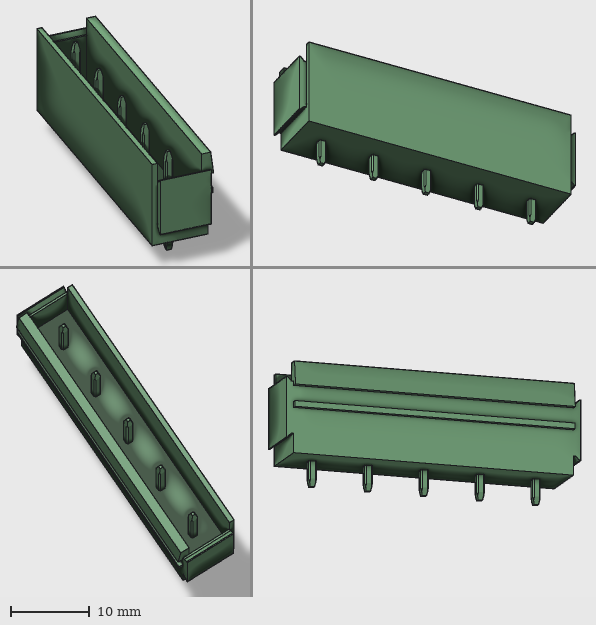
import cadquery as cq

housing_length = 37.52
housing_depth = 7.75
housing_height = 11.93
front_wall = 0.7
back_wall = 0.9
floor_height = 3.0
back_y = housing_depth
inner_front_y = front_wall
inner_back_y = back_y - back_wall

lip_bottom_z = 8.8
lip_reach_bottom = 0.75
lip_reach_top = 0.35
rib_bottom_z = 5.92
rib_height = 0.75
rib_reach = 0.65

overall_length = 39.5
plate_thickness = (overall_length - housing_length) / 2
plate_rim = 0.15
plate_neck = 0.28
plate_flare = 0.55
plate_bottom_z = 1.98
plate_top_z = 9.9

pin_count = 5
pin_pitch = 7.5
pin_row_y = 3.8
pin_width = 1.03
pin_bevel = 0.2
pin_bottom_z = -3.28
pin_top_z = 11.1
lower_taper = 0.95
lower_tip_width = 0.6
upper_taper = 1.4
upper_tip_width = 0.4


def make_channel():
    """Extrude the cross-section of floor, walls, lip and rib along X."""
    rib_top_z = rib_bottom_z + rib_height
    profile = [
        (0, 0),
        (back_y, 0),
        (back_y, rib_bottom_z),
        (back_y + rib_reach, rib_bottom_z),
        (back_y + rib_reach, rib_top_z),
        (back_y, rib_top_z),
        (back_y, lip_bottom_z),
        (back_y + lip_reach_bottom, lip_bottom_z),
        (back_y + lip_reach_top, housing_height),
        (inner_back_y, housing_height),
        (inner_back_y, floor_height),
        (inner_front_y, floor_height),
        (inner_front_y, housing_height),
        (0, housing_height),
    ]
    channel = cq.Workplane("YZ").polyline(profile).close()
    return channel.extrude(housing_length / 2, both=True)


def make_end_plate(side):
    """Close one end of the channel; side is -1 for the -X end and +1 for the +X end."""
    inner_x = side * housing_length / 2
    neck_x = inner_x + side * plate_neck
    outer_x = inner_x + side * plate_thickness
    rim_x = outer_x - side * plate_rim
    profile = [
        (inner_x, plate_bottom_z + plate_flare),
        (neck_x, plate_bottom_z + plate_flare),
        (rim_x, plate_bottom_z),
        (outer_x, plate_bottom_z),
        (outer_x, plate_top_z),
        (rim_x, plate_top_z),
        (neck_x, plate_top_z - plate_flare),
        (inner_x, plate_top_z - plate_flare),
    ]
    plate = cq.Workplane("XZ", origin=(0, inner_front_y, 0)).polyline(profile).close()
    return plate.extrude(-(back_y - inner_front_y))


def make_pin_bar(x):
    """Build the full-length bevelled bar of a pin, before its ends are tapered."""
    bar = cq.Workplane("XY", origin=(x, pin_row_y, pin_bottom_z))
    bar = bar.rect(pin_width, pin_width).extrude(pin_top_z - pin_bottom_z)
    return bar.edges("|Z").chamfer(pin_bevel)


def make_taper(x, base_z, length, tip_width):
    """Build a square pyramid stump from the pin width to tip_width; negative length points down."""
    taper = cq.Workplane("XY", origin=(x, pin_row_y, base_z)).rect(pin_width, pin_width)
    return taper.workplane(offset=length).rect(tip_width, tip_width).loft(ruled=True)


def make_pin(x):
    """Trim the bevelled bar to a straight shank with a pyramid at each end."""
    shank_bottom_z = pin_bottom_z + lower_taper
    shank_top_z = pin_top_z - upper_taper
    envelope = cq.Workplane("XY", origin=(x, pin_row_y, shank_bottom_z))
    envelope = envelope.rect(pin_width, pin_width).extrude(shank_top_z - shank_bottom_z)
    envelope = envelope.union(make_taper(x, shank_bottom_z, -lower_taper, lower_tip_width))
    envelope = envelope.union(make_taper(x, shank_top_z, upper_taper, upper_tip_width))
    return make_pin_bar(x).intersect(envelope)


def make_housing(pin_positions):
    """Join the channel and its end plates, then open a hole in the floor for each pin."""
    housing = make_channel()
    for side in (-1, 1):
        housing = housing.union(make_end_plate(side))
    for x in pin_positions:
        housing = housing.cut(make_pin_bar(x))
    return housing


pin_positions = [(i - (pin_count - 1) / 2) * pin_pitch for i in range(pin_count)]
housing = make_housing(pin_positions)
pins = [make_pin(x) for x in pin_positions]

result = cq.Compound.makeCompound([housing.val(), *[pin.val() for pin in pins]])